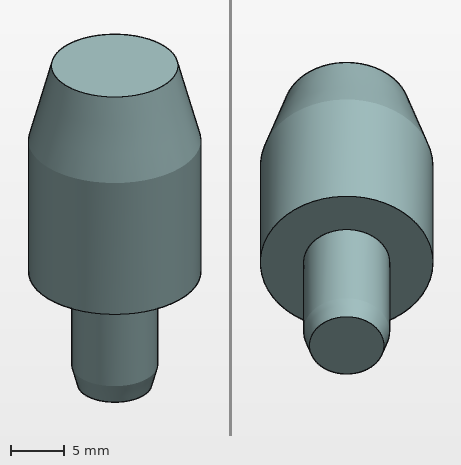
import cadquery as cq
import math

total_length = 34.0
head_diameter = 16.0
pin_diameter = 8.0
pin_length = 12.0
pin_tip_length = 2.0
head_taper_length = 8.0
taper_angle = 15.0

taper_slope = math.tan(math.radians(taper_angle))
head_radius = head_diameter / 2
pin_radius = pin_diameter / 2
head_top_radius = head_radius - head_taper_length * taper_slope
pin_tip_radius = pin_radius - pin_tip_length * taper_slope
head_taper_start = total_length - head_taper_length

profile = (
    cq.Workplane("XZ")
    .lineTo(pin_tip_radius, 0)
    .lineTo(pin_radius, pin_tip_length)
    .lineTo(pin_radius, pin_length)
    .lineTo(head_radius, pin_length)
    .lineTo(head_radius, head_taper_start)
    .lineTo(head_top_radius, total_length)
    .lineTo(0, total_length)
    .close()
)

result = profile.revolve(360, (0, 0, 0), (0, 1, 0))